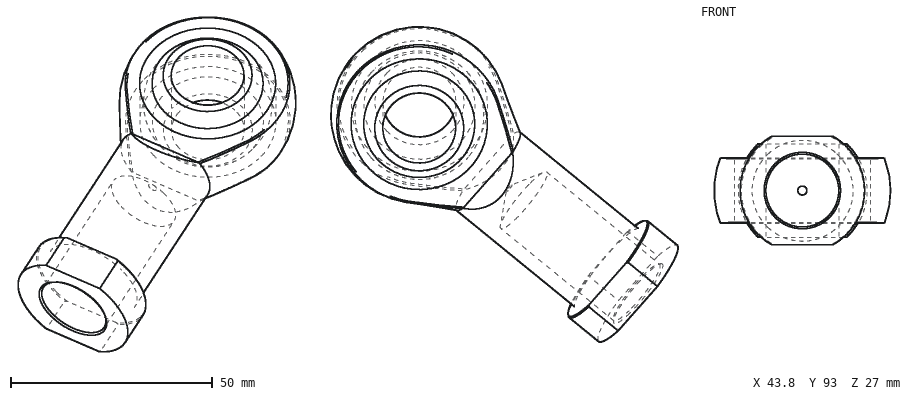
import cadquery as cq
import math

overall_length = 93.0
eye_diameter = 43.8
eye_thickness = 16.3
eye_edge_chamfer = 0.3

neck_diameter = 25.0
neck_start = 22.3
neck_fillet = 0.6

flange_diameter = 30.9
flange_length = 9.9
flange_across_flats = 27.0
flange_edge_chamfer = 0.3

bore_diameter = 18.0
bore_mouth_diameter = 19.0
bore_depth = 37.2
bore_tip_diameter = 2.2
drill_point_angle = 118.0

race_diameter = 33.8
ball_width = 23.2
ball_face_diameter = 22.0
ball_hole_diameter = 18.0

eye_radius = eye_diameter / 2
neck_radius = neck_diameter / 2
flange_radius = flange_diameter / 2
half_thickness = eye_thickness / 2
end_y = eye_radius - overall_length
flange_y = end_y + flange_length
ball_radius = math.hypot(ball_face_diameter / 2, ball_width / 2)


def centred_disc(diameter, height):
    return cq.Workplane("XY").workplane(offset=-height / 2).circle(diameter / 2).extrude(height)


def make_eye():
    """Sphere and tangent cone about the Y axis, cut to a flat slab with chamfered rims."""
    corner_distance = math.hypot(neck_radius, neck_start)
    tangent_angle = math.atan2(neck_radius, neck_start) + math.acos(eye_radius / corner_distance)
    tangent_point = (eye_radius * math.sin(tangent_angle), -eye_radius * math.cos(tangent_angle))
    diagonal = eye_radius * math.sqrt(0.5)
    head = (
        cq.Workplane("XY")
        .moveTo(0, eye_radius)
        .threePointArc((diagonal, diagonal), tangent_point)
        .lineTo(neck_radius, -neck_start)
        .lineTo(0, -neck_start)
        .close()
        .revolve(360, (0, 0, 0), (0, 1, 0))
    )
    slab = cq.Workplane("XY").box(2 * eye_diameter, 2 * eye_diameter, eye_thickness)
    eye = head.intersect(slab)
    return eye.faces("|Z").edges("not(|X)").chamfer(eye_edge_chamfer)


def make_shank():
    """Round neck and flange, with flats on the flange and 45 degree ramps at the eye."""
    shank = (
        cq.Workplane("XY")
        .moveTo(0, -neck_start)
        .lineTo(neck_radius, -neck_start)
        .lineTo(neck_radius, flange_y + neck_fillet)
        .radiusArc((neck_radius + neck_fillet, flange_y), -neck_fillet)
        .lineTo(flange_radius - flange_edge_chamfer, flange_y)
        .lineTo(flange_radius, flange_y - flange_edge_chamfer)
        .lineTo(flange_radius, end_y)
        .lineTo(0, end_y)
        .close()
        .revolve(360, (0, 0, 0), (0, 1, 0))
    )
    half_flats = flange_across_flats / 2
    ramp_end = -neck_start - (half_flats - half_thickness)
    upper = [(-neck_start, half_thickness), (ramp_end, half_flats), (end_y, half_flats)]
    lower = [(y, -z) for y, z in reversed(upper)]
    side_outline = cq.Workplane("YZ").polyline(upper + lower).close().extrude(flange_diameter, both=True)
    return shank.intersect(side_outline)


def shank_bore():
    """Cutter for a blind bore with a mouth chamfer and a blunt conical bottom."""
    bore_radius = bore_diameter / 2
    mouth_radius = bore_mouth_diameter / 2
    tip_radius = bore_tip_diameter / 2
    bore_end = end_y + bore_depth
    cone_height = (bore_radius - tip_radius) / math.tan(math.radians(drill_point_angle / 2))
    return (
        cq.Workplane("XY")
        .moveTo(0, end_y)
        .lineTo(mouth_radius, end_y)
        .lineTo(bore_radius, end_y + mouth_radius - bore_radius)
        .lineTo(bore_radius, bore_end)
        .lineTo(tip_radius, bore_end + cone_height)
        .lineTo(0, bore_end + cone_height)
        .close()
        .revolve(360, (0, 0, 0), (0, 1, 0))
    )


def race_blank():
    """Solid disc that fills the race seat of the eye."""
    return centred_disc(race_diameter, eye_thickness)


def make_housing():
    body = make_eye().union(make_shank())
    return body.cut(race_blank()).cut(shank_bore())


def make_race():
    """Ring with a spherical seat for the ball."""
    return race_blank().cut(cq.Workplane("XY").sphere(ball_radius))


def make_ball():
    """Truncated sphere with a through hole."""
    slab = centred_disc(2 * ball_radius, ball_width)
    hole = centred_disc(ball_hole_diameter, ball_width)
    return cq.Workplane("XY").sphere(ball_radius).intersect(slab).cut(hole)


housing = make_housing()
race = make_race()
ball = make_ball()

result = cq.Compound.makeCompound([housing.val(), race.val(), ball.val()])